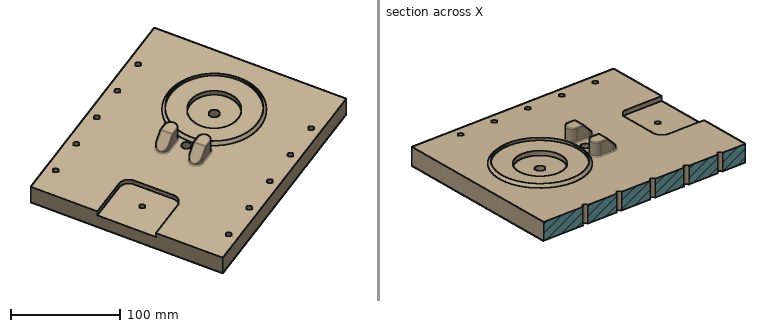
import cadquery as cq

plate_length = 240.0
plate_width = 200.0
plate_thickness = 20.0

ring_y = 50.0
ring_top_diameter = 90.0
ring_base_diameter = 96.0
ring_height = (ring_base_diameter - ring_top_diameter) / 2
recess_diameter = 50.0
recess_depth = 5.0
recess_hole_diameter = 10.0

lug_spacing = 34.5
lug_width = 13.0
lug_length = 27.8
lug_height = 15.0
lug_centre_y = -10.0
lug_slope_start_y = -10.5
lug_edge_radius = 1.0
lug_foot_radius = 1.0

middle_hole_diameter = 9.0
middle_hole_y = -4.0

pocket_width = 61.0
pocket_length = 52.0
pocket_depth = 5.0
pocket_corner_radius = 10.0
pocket_hole_diameter = 5.5

mount_hole_diameter = 5.5
mount_hole_x = 90.0
mount_row_length = 160.0
mount_holes_per_row = 5
mount_hole_pitch = mount_row_length / (mount_holes_per_row - 1)
first_mount_hole_y = -90.0

pocket_hole_y = first_mount_hole_y
front_y = -plate_length / 2


def through_hole(x, y, diameter):
    return cq.Workplane("XY").center(x, y).circle(diameter / 2).extrude(plate_thickness)


def make_plate():
    return cq.Workplane("XY").rect(plate_width, plate_length).extrude(plate_thickness)


def make_ring():
    """Triangular-section ring: upright inside, 45 degree bevel outside."""
    top_radius = ring_top_diameter / 2
    profile = (
        cq.Workplane("XZ")
        .moveTo(top_radius, 0)
        .lineTo(ring_base_diameter / 2, 0)
        .lineTo(top_radius, ring_height)
        .close()
    )
    return profile.revolve().translate((0, ring_y, plate_thickness))


def make_recess():
    floor_z = plate_thickness - recess_depth
    return (
        cq.Workplane("XY", origin=(0, ring_y, floor_z))
        .circle(recess_diameter / 2)
        .extrude(recess_depth)
    )


def make_lug(x):
    """Upright obround block with a sloped front, rounded upper edges and a flared foot."""
    block = (
        cq.Workplane("XY", origin=(x, lug_centre_y, plate_thickness))
        .slot2D(lug_length, lug_width, 90)
        .extrude(lug_height)
    )
    slope_cut = (
        cq.Workplane("YZ", origin=(x, lug_slope_start_y, plate_thickness + lug_height))
        .lineTo(-lug_length, 0)
        .lineTo(-lug_length, -lug_length)
        .close()
        .extrude(lug_width, both=True)
    )
    sloped = block.cut(slope_cut)
    slope_direction = cq.selectors.DirectionMinMaxSelector(cq.Vector(0, -1, 1))
    slope_face = sloped.faces(slope_direction)
    return sloped.faces(">Z").add(slope_face).edges().fillet(lug_edge_radius)


def make_pocket():
    """Pocket that runs out through the front edge, with rounded inner corners."""
    floor_z = plate_thickness - pocket_depth
    return (
        cq.Workplane("XY", origin=(0, front_y + pocket_length / 2, floor_z))
        .rect(pocket_width, pocket_length)
        .extrude(pocket_depth)
        .edges("|Z and >Y")
        .fillet(pocket_corner_radius)
    )


def round_lug_feet(body):
    """Fillet the edges where the lugs meet the top of the plate."""
    half_band = lug_foot_radius / 2
    lug_zone = cq.selectors.BoxSelector(
        (-lug_spacing, lug_centre_y - lug_length, plate_thickness - half_band),
        (lug_spacing, lug_centre_y + lug_length, plate_thickness + half_band),
    )
    return body.edges(lug_zone).fillet(lug_foot_radius)


result = make_plate()
for side in (-1, 1):
    result = result.union(make_lug(side * lug_spacing / 2))
result = round_lug_feet(result)

result = result.union(make_ring())
result = result.cut(make_recess()).cut(make_pocket())
result = result.cut(through_hole(0, ring_y, recess_hole_diameter))
result = result.cut(through_hole(0, middle_hole_y, middle_hole_diameter))
result = result.cut(through_hole(0, pocket_hole_y, pocket_hole_diameter))
for side in (-1, 1):
    for row in range(mount_holes_per_row):
        hole_y = first_mount_hole_y + row * mount_hole_pitch
        result = result.cut(through_hole(side * mount_hole_x, hole_y, mount_hole_diameter))